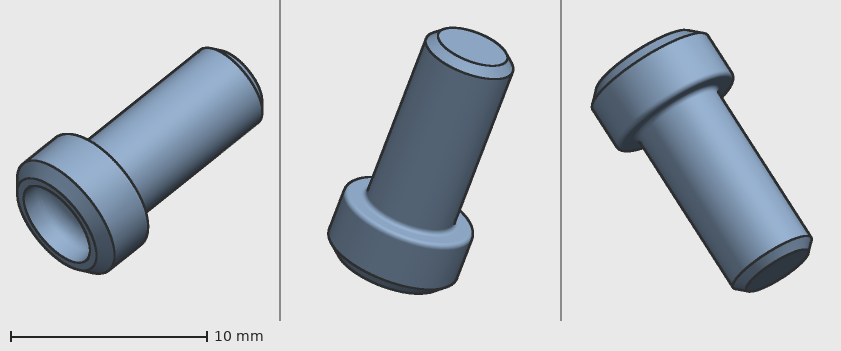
import cadquery as cq

total_length = 13.0
head_radius = 7.0 / 2
head_height = 3.25
head_chamfer = 0.65
head_fillet = 0.26

shank_radius = 4.75 / 2
neck_fillet = 0.26
tip_chamfer = 0.5

recess_radius = 4.75 / 2
recess_floor_radius = 1.38
recess_depth = 1.95
recess_fillet = recess_radius - recess_floor_radius


def cylinder(radius, start, length):
    """Cylinder along +Y whose near face is at Y = start."""
    plane = cq.Workplane("XZ", origin=(0, start, 0))
    return plane.circle(radius).extrude(-length)


def make_head():
    head = cylinder(head_radius, 0, head_height)
    head = head.faces("<Y").edges().chamfer(head_chamfer)
    return head.faces(">Y").edges().fillet(head_fillet)


def make_shank():
    shank = cylinder(shank_radius, 0, total_length)
    return shank.faces(">Y").edges().chamfer(tip_chamfer)


def make_recess():
    """Round pocket with a generously rounded floor edge."""
    recess = cylinder(recess_radius, 0, recess_depth)
    return recess.faces(">Y").edges().fillet(recess_fillet)


screw = make_head().union(make_shank())

neck_edge = cq.selectors.RadiusNthSelector(0)
shoulder = screw.faces(cq.selectors.NearestToPointSelector((0, head_height, shank_radius + neck_fillet)))
screw = shoulder.edges(neck_edge).fillet(neck_fillet)

result = screw.cut(make_recess())